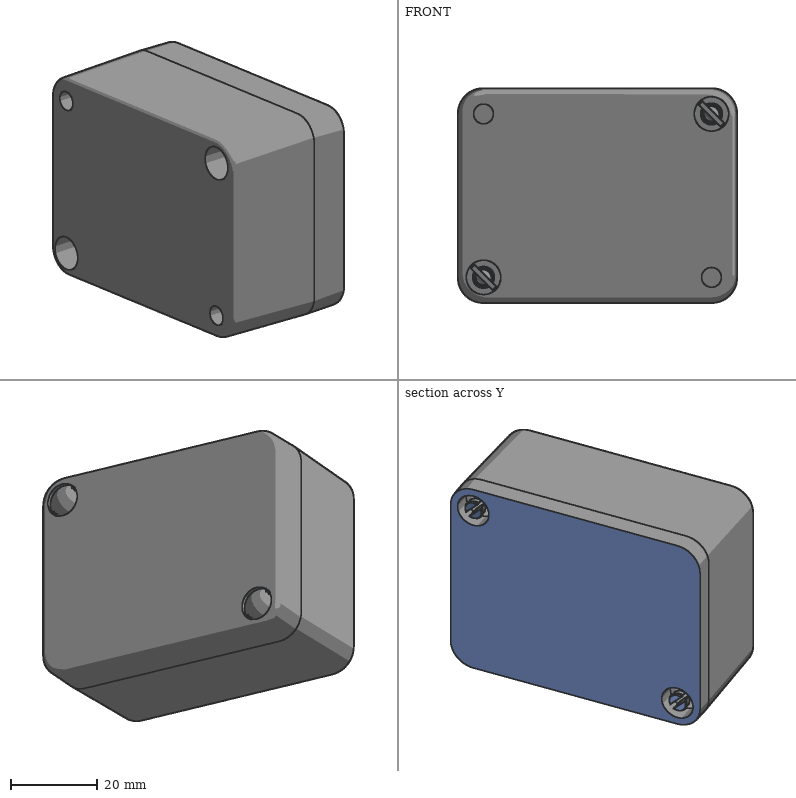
import cadquery as cq
import math

LENGTH = 65.0
HEIGHT = 50.0
BASE_DEPTH = 25.0
LID_DEPTH = 10.0
TOTAL_DEPTH = BASE_DEPTH + LID_DEPTH
CORNER_RADIUS = 6.0
BASE_DRAFT = math.radians(1.0)
LID_DRAFT = math.radians(0.75)
EDGE_FILLET = 1.25

HOLE_X = LENGTH / 2 - CORNER_RADIUS
HOLE_Z = HEIGHT / 2 - CORNER_RADIUS
SCREW_PLACES = [(HOLE_X, HOLE_Z), (-HOLE_X, -HOLE_Z)]
MOUNTING_PLACES = [(-HOLE_X, HOLE_Z), (HOLE_X, -HOLE_Z)]
SCREW_BORE_DIAMETER = 8.0
MOUNTING_HOLE_DIAMETER = 4.6

HEAD_RADIUS = SCREW_BORE_DIAMETER / 2
DOME_TOP = TOTAL_DEPTH + 0.52
DOME_RISE = 1.6
HEAD_UNDERSIDE = TOTAL_DEPTH - 2.0
SHAFT_TIP = BASE_DEPTH
TIP_RADIUS = 1.65
THREAD_RIDGES = 5
THREAD_PITCH = (HEAD_UNDERSIDE - SHAFT_TIP) / THREAD_RIDGES
THREAD_DEPTH = 0.4
THREAD_GROWTH = 0.12
SLOT_WIDTH = 1.2
SLOT_FLOOR_RADIUS = 5.6
SLOT_ANGLE = 45.0
FLUTE_RADIUS = 1.5
FLUTE_OFFSET = 1.8


def rounded_outline(inset):
    """Rounded rectangle, moved in by `inset` on every side."""
    outline = cq.Sketch().rect(LENGTH - 2 * inset, HEIGHT - 2 * inset)
    return outline.vertices().fillet(CORNER_RADIUS)


def drafted_block(end_y, draft):
    """Block from the parting plane to `end_y`, narrowing by the draft, with a rounded end edge."""
    depth = abs(end_y - BASE_DEPTH)
    wide = rounded_outline(0)
    narrow = rounded_outline(depth * math.tan(draft))
    block = (
        cq.Workplane("XZ", origin=(0, BASE_DEPTH, 0))
        .placeSketch(wide, narrow.moved(cq.Location(cq.Vector(0, 0, BASE_DEPTH - end_y))))
        .loft(ruled=True)
    )
    end_face = "<Y" if end_y < BASE_DEPTH else ">Y"
    return block.faces(end_face).edges().fillet(EDGE_FILLET)


def rods(places, diameter, start_y, end_y):
    """Cylinders along Y at the given X, Z places."""
    return (
        cq.Workplane("XZ", origin=(0, start_y, 0))
        .pushPoints(places)
        .circle(diameter / 2)
        .extrude(start_y - end_y)
    )


def make_base():
    base = drafted_block(0, BASE_DRAFT)
    base = base.cut(rods(SCREW_PLACES, SCREW_BORE_DIAMETER, 0, BASE_DEPTH))
    return base.cut(rods(MOUNTING_PLACES, MOUNTING_HOLE_DIAMETER, 0, BASE_DEPTH))


def make_lid():
    lid = drafted_block(TOTAL_DEPTH, LID_DRAFT)
    return lid.cut(rods(SCREW_PLACES, SCREW_BORE_DIAMETER, BASE_DEPTH, TOTAL_DEPTH))


def make_screw():
    """Screw on the Y axis."""
    dome_radius = (HEAD_RADIUS**2 + DOME_RISE**2) / (2 * DOME_RISE)
    mid_angle = math.asin(HEAD_RADIUS / dome_radius) / 2
    dome_middle = (
        dome_radius * math.sin(mid_angle),
        DOME_TOP - dome_radius * (1 - math.cos(mid_angle)),
    )
    profile = cq.Workplane("XY").moveTo(0, SHAFT_TIP).lineTo(TIP_RADIUS, SHAFT_TIP)
    for ridge in range(THREAD_RIDGES):
        root = TIP_RADIUS + ridge * THREAD_GROWTH
        ridge_start = SHAFT_TIP + ridge * THREAD_PITCH
        profile = profile.lineTo(root + THREAD_DEPTH, ridge_start + THREAD_PITCH / 2)
        profile = profile.lineTo(root + THREAD_GROWTH, ridge_start + THREAD_PITCH)
    turned = (
        profile.lineTo(HEAD_RADIUS, HEAD_UNDERSIDE)
        .lineTo(HEAD_RADIUS, DOME_TOP - DOME_RISE)
        .threePointArc(dome_middle, (0, DOME_TOP))
        .close()
        .revolve(360, (0, 0, 0), (0, 1, 0))
    )

    slot_reach = 2 * HEAD_RADIUS
    slot = cq.Workplane("XY").box(slot_reach, DOME_TOP - SHAFT_TIP, SLOT_WIDTH)
    slot = slot.translate((0, (DOME_TOP + SHAFT_TIP) / 2, 0))
    floor = (
        cq.Workplane("XY")
        .center(0, HEAD_UNDERSIDE + SLOT_FLOOR_RADIUS)
        .circle(SLOT_FLOOR_RADIUS)
        .extrude(SLOT_WIDTH, both=True)
    )
    screw = turned.cut(slot.cut(floor))

    for side in (-1, 1):
        flute = (
            cq.Workplane("YZ")
            .center(SHAFT_TIP, side * FLUTE_OFFSET)
            .circle(FLUTE_RADIUS)
            .extrude(HEAD_RADIUS, both=True)
        )
        screw = screw.cut(flute)
    return screw.rotate((0, 0, 0), (0, 1, 0), SLOT_ANGLE)


base = make_base()
lid = make_lid()
screws = [make_screw().translate((x, 0, z)) for x, z in SCREW_PLACES]

result = cq.Compound.makeCompound([base.val(), lid.val(), *[screw.val() for screw in screws]])